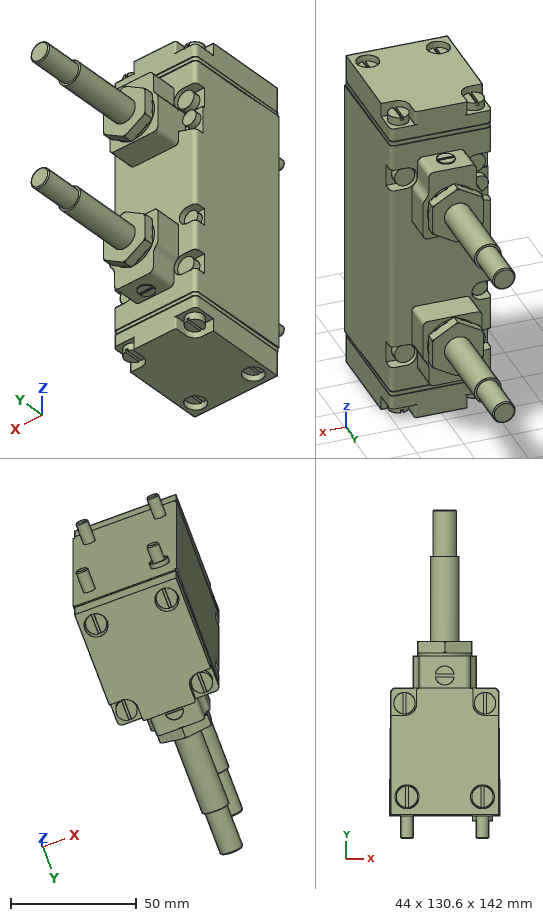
import cadquery as cq
import math

body_rear_y = 50.8
body_half_height = 57.0
body_front_width = 44.0
cover_width = 43.0
rear_edge_radius = 1.9

total_height = 142.0
half_height = total_height / 2
gasket_thickness = 2.0
gasket_rear_inset = 0.4
gasket_side_inset = 0.1
cover_front_y = 0.5
cover_base_z = body_half_height + gasket_thickness

screw_head_diameter = 8.5
slot_width = 1.1
slot_depth = 1.2

corner_screw_x = 16.0
corner_screw_y = 44.8
corner_seat_diameter = 9.73
corner_seat_depth = 6.0
corner_seat_edge_radius = 0.8
corner_head_height = 3.5
front_screw_x = 15.0
front_screw_y = 7.6
front_bore_diameter = 9.5

mount_x = 15.0
mount_z = 41.0
mount_seat_diameter = 9.5
mount_seat_depth = 5.2
mount_head_height = 3.6
mount_pin_diameter = 5.0
mount_pin_length = 9.0
mount_pin_chamfer = 0.5
sleeve_diameter = 8.0
sleeve_bore_diameter = 7.0
sleeve_length = 2.0

side_screw_x = 17.0
side_head_diameter = 7.0
side_seat_diameter = 8.0
lower_side_screw_z = -17.9
lower_side_head_height = 2.7
plug_pocket_depth = 4.4
plug_pocket_inner_z = 25.6
plug_pocket_outer_z = 22.8
plug_pocket_screw_head_height = 3.0

cable_z = 31.0
plug_inner_z = 19.2
plug_outer_z = 49.5
plug_rear_y = 63.5
plug_half_width = 12.5
plug_hollow_diameter = 9.73
plug_neck_half_width = mount_x - plug_hollow_diameter / 2
plug_neck_corner_radius = 2.3
plug_base_corner_radius = 1.9
plug_shoulder_z = 35.0
plug_shoulder_x = 11.65
plug_shoulder_radius = 3.0
plug_screw_diameter = 7.5
plug_screw_y = 55.8
plug_screw_height = 0.5

gland_collar_diameter = 21.5
gland_nut_front_y = 64.7
gland_nut_rear_y = 69.4
gland_nut_flats = 21.6
gland_nut_chamfer_diameter = 24.0
sheath_diameter = 11.4
sheath_rear_y = 103.1
cable_diameter = 9.5
cable_rear_y = 121.6
cable_chamfer = 0.5


def block(x_min, x_max, y_min, y_max, z_min, z_max):
    """Axis-aligned box given by its limits."""
    box = cq.Workplane("XY").box(x_max - x_min, y_max - y_min, z_max - z_min, centered=False)
    return box.translate((x_min, y_min, z_min))


def rod_y(diameter, x, z, y_start, y_end):
    """Cylinder along +Y."""
    direction = cq.Vector(0, 1, 0)
    return cq.Workplane(cq.Solid.makeCylinder(diameter / 2, y_end - y_start, cq.Vector(x, y_start, z), direction))


def rod_z(diameter, x, y, z_start, z_end):
    """Cylinder along +Z."""
    return cq.Workplane(cq.Solid.makeCylinder(diameter / 2, z_end - z_start, cq.Vector(x, y, z_start)))


def make_body():
    """Body with sides that taper from the front face to the rear, and rounded rear edges."""
    front_half = body_front_width / 2
    rear_half = cover_width / 2
    outline = [(-front_half, 0), (front_half, 0), (rear_half, body_rear_y), (-rear_half, body_rear_y)]
    body = cq.Workplane("XY").polyline(outline).close().extrude(body_half_height, both=True)
    return body.edges("|Z and >Y").fillet(rear_edge_radius)


def rounded_plate(width, y_min, y_max, z_min, z_max):
    """Plate centred on X = 0 with its two rear edges rounded."""
    plate = block(-width / 2, width / 2, y_min, y_max, z_min, z_max)
    return plate.edges("|Z and >Y").fillet(rear_edge_radius)


def slotted_head_z(diameter, x, y, z_start, z_end):
    """Screw head facing +Z, with its slot along Y."""
    head = rod_z(diameter, x, y, z_start, z_end)
    half_slot = slot_width / 2
    slot = block(x - half_slot, x + half_slot, y - diameter, y + diameter, z_end - slot_depth, z_end)
    return head.cut(slot)


def corner_seat(side, floor_z):
    """Cover corner cleared around a screw: round inside, open to the side and to the rear."""
    radius = corner_seat_diameter / 2
    x = corner_screw_x
    reach = cover_width
    seat = rod_z(corner_seat_diameter, x, corner_screw_y, floor_z, half_height)
    seat = seat.union(block(x, reach, corner_screw_y - radius, reach * 2, floor_z, half_height))
    seat = seat.union(block(x - radius, reach, corner_screw_y, reach * 2, floor_z, half_height))
    return seat if side > 0 else seat.mirror("YZ")


def make_top_cover():
    """Top gasket and end cover with four slotted screws."""
    gasket_width = cover_width - 2 * gasket_side_inset
    gasket = rounded_plate(gasket_width, 0, body_rear_y - gasket_rear_inset, body_half_height, cover_base_z)
    cover = rounded_plate(cover_width, cover_front_y, body_rear_y, cover_base_z, half_height)
    floor_z = half_height - corner_seat_depth
    head_z = floor_z + corner_head_height
    for side in (-1, 1):
        cover = cover.cut(corner_seat(side, floor_z))
    rear_lip_edges = cq.selectors.BoxSelector(
        (-corner_screw_x, corner_screw_y, floor_z),
        (corner_screw_x, body_rear_y + corner_seat_edge_radius, half_height),
    )
    cover = cover.edges("|Z and >Y").edges(rear_lip_edges).fillet(corner_seat_edge_radius)
    for side in (-1, 1):
        cover = cover.cut(rod_z(front_bore_diameter, side * front_screw_x, front_screw_y, floor_z, half_height))
        for x, y in ((corner_screw_x, corner_screw_y), (front_screw_x, front_screw_y)):
            cover = cover.union(slotted_head_z(screw_head_diameter, side * x, y, floor_z, head_z))
    return cover.union(gasket)


def side_seat(side, diameter, x, z, depth):
    """Round screw seat in the rear face, open to the side of the body."""
    floor_y = body_rear_y - depth
    seat = rod_y(diameter, x, z, floor_y, body_rear_y)
    opening = block(x, body_front_width, floor_y, body_rear_y, z - diameter / 2, z + diameter / 2)
    seat = seat.union(opening)
    return seat if side > 0 else seat.mirror("YZ")


def add_mounting_screw(part, x_side, z_side):
    """Through screw: head seated at the rear, pin end standing out of the front face."""
    z = z_side * mount_z
    floor_y = body_rear_y - mount_seat_depth
    part = part.cut(side_seat(x_side, mount_seat_diameter, mount_x, z, mount_seat_depth))
    head = rod_y(screw_head_diameter, x_side * mount_x, z, floor_y, floor_y + mount_head_height)
    pin = rod_y(mount_pin_diameter, x_side * mount_x, z, -mount_pin_length, floor_y)
    return part.union(head).union(pin.faces("<Y").chamfer(mount_pin_chamfer))


def add_sleeve(part):
    """Thin sleeve around the lower right pin."""
    sleeve = rod_y(sleeve_diameter, mount_x, -mount_z, -sleeve_length, 0)
    bore = rod_y(sleeve_bore_diameter, mount_x, -mount_z, -sleeve_length, 0)
    return part.union(sleeve.cut(bore))


def add_lower_side_screw(part):
    """Small seated screw above the lower plug, on the -X side."""
    floor_y = body_rear_y - mount_seat_depth
    z = lower_side_screw_z
    part = part.cut(side_seat(-1, side_seat_diameter, side_screw_x, z, mount_seat_depth))
    return part.union(rod_y(side_head_diameter, -side_screw_x, z, floor_y, floor_y + lower_side_head_height))


def add_plug_pocket(part):
    """Side pocket beside the upper plug with a slanted lower end and a small screw head in it."""
    floor_y = body_rear_y - plug_pocket_depth
    outer_x = body_front_width / 2
    outline = [
        (-plug_half_width, mount_z),
        (-outer_x, mount_z),
        (-outer_x, plug_pocket_outer_z),
        (-plug_half_width, plug_pocket_inner_z),
    ]
    pocket = cq.Workplane("XZ", origin=(0, body_rear_y, 0)).polyline(outline).close()
    part = part.cut(pocket.extrude(plug_pocket_depth))
    head_y = floor_y + plug_pocket_screw_head_height
    return part.union(rod_y(side_head_diameter, -side_screw_x, cable_z, floor_y, head_y))


def make_plug():
    """Upper plug housing: wide base, and a neck hollowed on both sides for the mounting screws."""
    seat_radius = plug_hollow_diameter / 2
    diagonal = 1 - math.sqrt(0.5)
    neck_inset = plug_neck_corner_radius * diagonal
    base_inset = plug_base_corner_radius * diagonal
    hollow_end_angle = math.acos((mount_x - plug_shoulder_x) / seat_radius)
    hollow_mid_x = mount_x - seat_radius * math.cos(hollow_end_angle / 2)
    hollow_mid_z = mount_z - seat_radius * math.sin(hollow_end_angle / 2)
    hollow_end_z = mount_z - seat_radius * math.sin(hollow_end_angle)
    half_outline = (
        cq.Workplane("XZ", origin=(0, plug_rear_y, 0))
        .moveTo(0, plug_outer_z)
        .lineTo(plug_neck_half_width - plug_neck_corner_radius, plug_outer_z)
        .threePointArc(
            (plug_neck_half_width - neck_inset, plug_outer_z - neck_inset),
            (plug_neck_half_width, plug_outer_z - plug_neck_corner_radius),
        )
        .lineTo(plug_neck_half_width, mount_z)
        .threePointArc((hollow_mid_x, hollow_mid_z), (plug_shoulder_x, hollow_end_z))
        .radiusArc((plug_half_width, plug_shoulder_z), plug_shoulder_radius)
        .lineTo(plug_half_width, plug_inner_z + plug_base_corner_radius)
        .threePointArc(
            (plug_half_width - base_inset, plug_inner_z + base_inset),
            (plug_half_width - plug_base_corner_radius, plug_inner_z),
        )
        .lineTo(0, plug_inner_z)
    )
    plug = half_outline.mirrorY().extrude(plug_rear_y - body_rear_y + plug_pocket_depth)
    screw = rod_z(plug_screw_diameter, 0, plug_screw_y, plug_outer_z, plug_outer_z + plug_screw_height)
    half_slot = slot_width / 2
    slot = block(
        -plug_screw_diameter,
        plug_screw_diameter,
        plug_screw_y - half_slot,
        plug_screw_y + half_slot,
        plug_outer_z,
        plug_outer_z + plug_screw_height,
    )
    return plug.union(screw.cut(slot))


def make_gland_nut():
    """Hexagon nut with corners along Z and both ends turned down at the corners."""
    across_corners = gland_nut_flats / math.cos(math.pi / 6)
    thickness = gland_nut_rear_y - gland_nut_front_y
    hexagon = cq.Workplane("XZ").polygon(6, across_corners).extrude(-thickness)
    hexagon = hexagon.rotate((0, 0, 0), (0, 1, 0), 30)
    turned = rod_y(across_corners, 0, 0, 0, thickness)
    turned = turned.faces("<Y or >Y").chamfer((across_corners - gland_nut_chamfer_diameter) / 2)
    return hexagon.intersect(turned).translate((0, gland_nut_front_y, cable_z))


def make_gland():
    """Collar, nut, sheath and cable of the upper plug."""
    collar = rod_y(gland_collar_diameter, 0, cable_z, plug_rear_y, gland_nut_front_y)
    sheath = rod_y(sheath_diameter, 0, cable_z, gland_nut_rear_y, sheath_rear_y)
    cable = rod_y(cable_diameter, 0, cable_z, sheath_rear_y, cable_rear_y)
    cable = cable.faces(">Y").chamfer(cable_chamfer)
    return make_gland_nut().union(collar).union(sheath).union(cable)


top_cover = make_top_cover()
upper_plug = make_plug().union(make_gland())

result = make_body()
result = add_plug_pocket(result)
for x_side in (-1, 1):
    for z_side in (-1, 1):
        result = add_mounting_screw(result, x_side, z_side)
result = add_sleeve(result)
result = add_lower_side_screw(result)
for half_part in (top_cover, upper_plug):
    result = result.union(half_part).union(half_part.mirror("XY"))